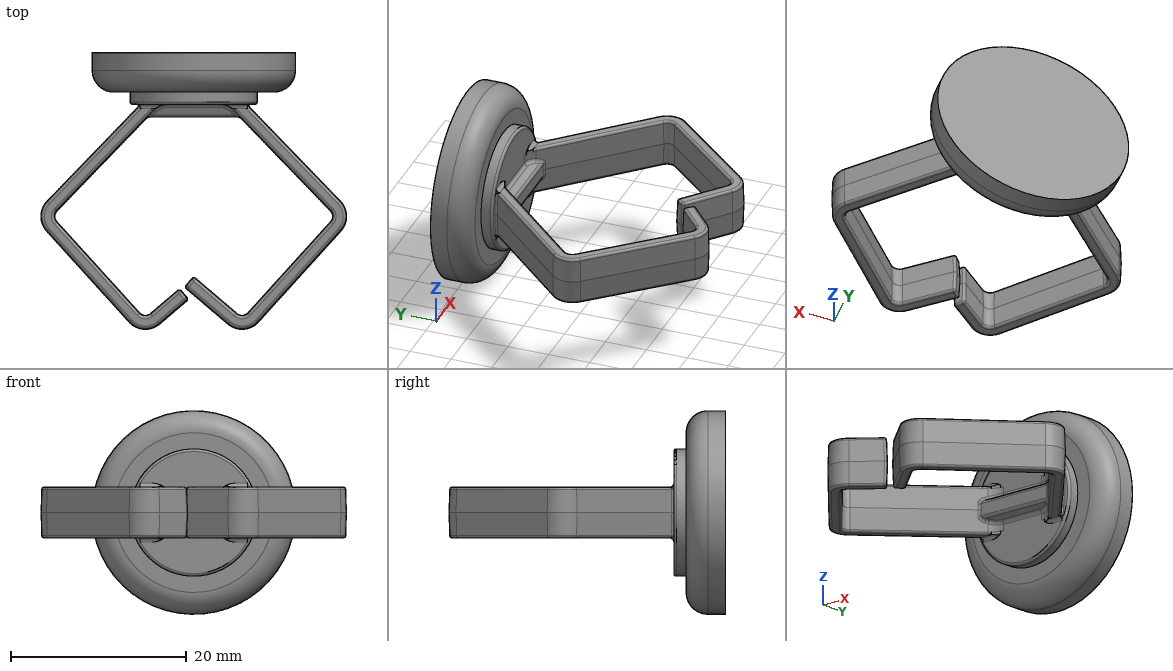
import cadquery as cq
import math

tolerance = 0.01

base_radius = 11.6
base_thickness = 4.5
base_edge_radius = 2.5

collar_radius = 7.25
collar_thickness = 1.4
collar_edge_radius = 0.3
collar_face_y = -(base_thickness + collar_thickness)

arm_height = 5.8
arm_thickness = 1.6
arm_draft_angle = 2.0
arm_edge_radius = 0.3
upper_angle = 46.0
lower_angle = 47.8
tip_angle = 40.4
side_bend = cq.Vector(17.24, -18.61)
front_bend_y = -31.38
bend_radius = 1.7
left_tip_length = 6.0
right_tip_length = 8.15

root_depth = 0.7
root_inner_radius = 2.4
root_outer_radius = 0.15
root_margin = 0.05

web_radius = 0.45
web_outer_x = 6.1
web_shoulder_x = 4.7
web_inner_x = 3.4

rib_front_y = -7.35
rib_front_height = 2.0
rib_draft_angle = 20.0
rib_edge_radius = 0.4
rib_foot_radius = 0.5


def direction(angle):
    """Unit vector in the XY plane at an angle in degrees."""
    return cq.Vector(math.cos(math.radians(angle)), math.sin(math.radians(angle)))


def arm_centreline(tip_length):
    """Corner points of the right arm's centreline, from the collar face to the tip."""
    upper_length = (collar_face_y - side_bend.y) / math.sin(math.radians(upper_angle))
    lower_length = (side_bend.y - front_bend_y) / math.sin(math.radians(lower_angle))
    start = side_bend + direction(180 - upper_angle) * upper_length
    front_bend = side_bend - direction(lower_angle) * lower_length
    tip = front_bend + direction(180 - tip_angle) * tip_length
    return [start, side_bend, front_bend, tip]


def offset_path(points, distance):
    """Move an open path sideways, to its left for a positive distance."""
    headings = [(end - start).normalized() for start, end in zip(points, points[1:])]
    normals = [cq.Vector(-heading.y, heading.x) for heading in headings]
    before = normals[:1] + normals
    after = normals + normals[-1:]
    return [
        point + (a + b) * (distance / (1 + a.dot(b)))
        for point, a, b in zip(points, before, after)
    ]


def arm_side(centreline, distance):
    """Corner points of one long side of the arm, started at the depth of the root."""
    points = offset_path(centreline, distance)
    rise = collar_face_y + root_depth - points[0].y
    points[0] += direction(180 - upper_angle) * (rise / math.sin(math.radians(upper_angle)))
    return points


arm_start_x = arm_centreline(right_tip_length)[0].x


def root_foot_x(distance):
    """Where a side of the right arm meets the collar face at mid-height."""
    return arm_start_x + distance / math.sin(math.radians(upper_angle))


def make_half_arm(tip_length):
    """Upper half of the right arm, with a foot sunk into the collar and its edges still sharp."""
    half = arm_thickness / 2
    centreline = arm_centreline(tip_length)
    outer = arm_side(centreline, half)
    inner = arm_side(centreline, -half)
    face = cq.Face.makeFromWires(cq.Wire.makePolygon(outer + inner[::-1], close=True))
    for side, radius in ((outer, bend_radius + half), (inner, bend_radius - half)):
        for corner in side[1:3]:
            nearest = min(face.Vertices(), key=lambda vertex: (vertex.Center() - corner).Length)
            face = face.fillet2D(radius, [nearest])
    strip = cq.Workplane().placeSketch(cq.Sketch().face(face)).extrude(arm_height / 2, taper=arm_draft_angle)

    inner_width = root_inner_radius * math.tan(math.radians(upper_angle / 2)) + root_margin
    outer_width = root_outer_radius / math.tan(math.radians(upper_angle / 2)) + root_margin
    foot_start = root_foot_x(-half) - inner_width
    foot_end = root_foot_x(half) + outer_width
    foot = (
        cq.Workplane(origin=(foot_start, collar_face_y, 0))
        .box(foot_end - foot_start, root_depth, arm_height / 2, centered=False)
    )
    arm = strip.union(foot)
    for distance, radius in ((-half, root_inner_radius), (half, root_outer_radius)):
        corner = (root_foot_x(distance), collar_face_y, arm_height / 4)
        arm = arm.edges(cq.selectors.NearestToPointSelector(corner)).fillet(radius)
    return arm


def round_arm(arm, tip_length):
    """Round the top edges of a half arm and the upright edges of its free end."""
    tip = arm_centreline(tip_length)[-1]
    end_edges = [
        edge for edge in arm.edges("not #Z").vals()
        if (edge.Center() - tip).Length < arm_height / 2 and edge.BoundingBox().zlen > arm_height / 4
    ]
    top_edges = [
        edge for edge in arm.faces(">Z").edges().vals()
        if edge.Center().y < collar_face_y - tolerance
    ]
    return arm.newObject(top_edges + end_edges).fillet(arm_edge_radius)


def make_rib():
    """Rib that thickens towards the collar, with slanted ends that stop inside the arms."""
    front_x = arm_start_x + (collar_face_y - rib_front_y) / math.tan(math.radians(upper_angle))
    back_y = collar_face_y + root_depth
    front_half = rib_front_height / 2
    back_half = front_half + (back_y - rib_front_y) * math.tan(math.radians(rib_draft_angle))
    profile = [
        (rib_front_y, front_half),
        (back_y, back_half),
        (back_y, -back_half),
        (rib_front_y, -front_half),
    ]
    bar = cq.Workplane("YZ").polyline(profile).close().extrude(front_x, both=True)
    bar = bar.faces("<Y").edges("|X").fillet(rib_edge_radius)
    plan = [
        (-front_x, rib_front_y),
        (front_x, rib_front_y),
        (arm_start_x, collar_face_y),
        (arm_start_x, back_y),
        (-arm_start_x, back_y),
        (-arm_start_x, collar_face_y),
    ]
    return bar.intersect(cq.Workplane().polyline(plan).close().extrude(arm_height / 2, both=True))


def make_root_web(arm):
    """Concave fillet between the top of the right arm's root and the collar, fading out inwards."""
    arm_top = arm_height / 2
    web_top = arm_top + web_radius
    sunk_z = arm_top - arm_edge_radius
    sunk_y = collar_face_y + root_depth
    front_y = collar_face_y - web_radius
    bow = web_radius * (1 - math.sqrt(0.5))
    strip = (
        cq.Workplane("YZ")
        .moveTo(front_y, arm_top)
        .threePointArc((collar_face_y - bow, arm_top + bow), (collar_face_y, web_top))
        .lineTo(sunk_y, web_top)
        .lineTo(sunk_y, sunk_z)
        .lineTo(front_y, sunk_z)
        .close()
        .extrude(web_outer_x)
    )
    fade = (
        cq.Workplane("XZ", origin=(0, sunk_y, 0))
        .moveTo(web_outer_x, web_top)
        .lineTo(web_shoulder_x, web_top)
        .tangentArcPoint((web_inner_x, arm_top), relative=False)
        .lineTo(web_inner_x, sunk_z)
        .lineTo(web_outer_x, sunk_z)
        .close()
        .extrude(sunk_y - front_y)
    )
    arm_column = cq.Workplane(cq.Solid.extrudeLinear(arm.faces(">Z").val(), cq.Vector(0, 0, web_radius)))
    return strip.intersect(fade).intersect(arm.union(arm_column))


def make_base():
    disc = cq.Workplane("XZ").circle(base_radius).extrude(base_thickness)
    return disc.faces("<Y").edges().fillet(base_edge_radius)


def make_collar():
    disc = cq.Workplane("XZ", origin=(0, -base_thickness, 0)).circle(collar_radius).extrude(collar_thickness)
    return disc.faces("<Y").edges().fillet(collar_edge_radius)


def round_rib_foot(half_hook):
    """Fillet the seam between the rib's top and the collar and arms."""
    def on_seam(edge):
        middle = edge.Center()
        on_rib = rib_front_y < middle.y < collar_face_y + tolerance and abs(middle.x) < web_outer_x
        at_rib_top = rib_front_height / 4 < middle.z < rib_front_height
        on_front_rounding = abs(middle.x) < tolerance and middle.y < collar_face_y - tolerance
        return on_rib and at_rib_top and not on_front_rounding

    seam = [edge for edge in half_hook.edges().vals() if on_seam(edge)]
    return half_hook.newObject(seam).fillet(rib_foot_radius)


def make_hook():
    """Collar, arms and rib in one piece: the upper half is finished and then mirrored."""
    upper_size = 4 * collar_radius
    upper_space = cq.Workplane().box(upper_size, upper_size, upper_size, centered=(True, True, False))
    right_arm = make_half_arm(right_tip_length)
    left_arm = make_half_arm(left_tip_length)
    upper = make_collar().union(make_rib()).intersect(upper_space)
    upper = upper.union(round_arm(right_arm, right_tip_length))
    upper = upper.union(round_arm(left_arm, left_tip_length).mirror("YZ"))
    upper = round_rib_foot(upper)
    web = make_root_web(right_arm)
    upper = upper.union(web).union(web.mirror("YZ"))
    return upper.union(upper.mirror("XY"))


base = make_base()
hook = make_hook()
result = cq.Compound.makeCompound([base.val(), hook.val()])